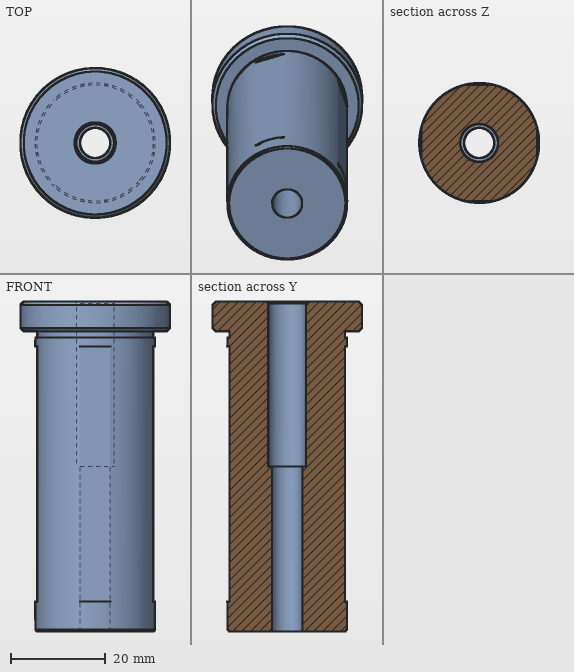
import cadquery as cq

full_turn = 360

total_height = 69.85
head_diameter = 31.75
head_thickness = 6.35
body_diameter = 25.4

head_chamfer = 0.75
foot_chamfer = 0.4

neck_height = 1.3
neck_inset = 0.4

bore_diameter = 6.35
counterbore_diameter = 7.94
counterbore_depth = total_height / 2
counterbore_chamfer = 0.4

flat_count = 4
flat_depth = 0.41
flat_bottom = 6.35
flat_top_gap = 3.175

head_radius = head_diameter / 2
body_radius = body_diameter / 2
shoulder_height = total_height - head_thickness
flat_top = shoulder_height - flat_top_gap
flat_height = flat_top - flat_bottom


def make_bushing_blank():
    """Body, neck and chamfered head as one solid of revolution about Z."""
    profile = (
        cq.Workplane("XZ")
        .moveTo(0, 0)
        .lineTo(body_radius - foot_chamfer, 0)
        .lineTo(body_radius, foot_chamfer)
        .lineTo(body_radius, shoulder_height - neck_height)
        .lineTo(body_radius - neck_inset, shoulder_height - neck_height)
        .lineTo(body_radius - neck_inset, shoulder_height)
        .lineTo(head_radius - head_chamfer, shoulder_height)
        .lineTo(head_radius, shoulder_height + head_chamfer)
        .lineTo(head_radius, total_height - head_chamfer)
        .lineTo(head_radius - head_chamfer, total_height)
        .lineTo(0, total_height)
        .close()
    )
    return profile.revolve(full_turn, (0, 0, 0), (0, 1, 0))


def make_bore():
    """Through bore with a chamfered counterbore opening at the head."""
    bore_radius = bore_diameter / 2
    counterbore_radius = counterbore_diameter / 2
    counterbore_floor = total_height - counterbore_depth
    profile = (
        cq.Workplane("XZ")
        .moveTo(0, 0)
        .lineTo(bore_radius, 0)
        .lineTo(bore_radius, counterbore_floor)
        .lineTo(counterbore_radius, counterbore_floor)
        .lineTo(counterbore_radius, total_height - counterbore_chamfer)
        .lineTo(counterbore_radius + counterbore_chamfer, total_height)
        .lineTo(0, total_height)
        .close()
    )
    return profile.revolve(full_turn, (0, 0, 0), (0, 1, 0))


def make_flat_cutter(angle):
    """Block that mills one shallow flat on the +X side, turned about Z by angle."""
    cutter = cq.Workplane("XY").box(
        body_diameter, body_diameter, flat_height, centered=(False, True, False)
    )
    cutter = cutter.translate((body_radius - flat_depth, 0, flat_bottom))
    return cutter.rotate((0, 0, 0), (0, 0, 1), angle)


result = make_bushing_blank().cut(make_bore())
for index in range(flat_count):
    result = result.cut(make_flat_cutter(index * full_turn / flat_count))